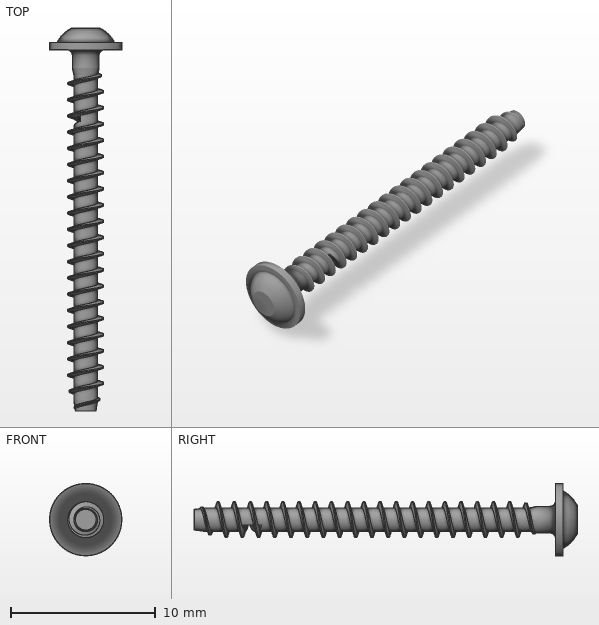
import cadquery as cq
import math

total_length = 26.5
head_height = 1.5
tip_y = head_height - total_length

flange_diameter = 5.0
flange_radius = flange_diameter / 2
flange_thickness = 0.53
dome_base_radius = 2.0
dome_top_radius = 0.98
dome_bulge = 0.08

neck_radius = 0.93
neck_fillet = 0.37
neck_end_y = -1.27
core_radius = 0.82
core_start_y = -1.75
tip_radius = 0.72
tip_taper_length = 0.75

first_crest_y = -2.05
counted_turns = 20
counted_length = 22.42
pitch = counted_length / counted_turns
crest_radius = 1.25
root_radius = 0.65
crest_width = 0.08
root_width = 0.4
width_at_core = 0.32
start_turn = -1.0
end_turn = 20.25
fade_turns = 1.25
start_crest_radius = 0.85
end_crest_radius = 0.8
stretch_turns = 0.25
points_per_stretch = 4

notch_floor = 0.37
notch_slant = 0.56
first_notch_turn = 2.25
first_notch_width = 0.6
second_notch_turn = 17.5
second_notch_width = 0.77


def thread_y(turn):
    return first_crest_y - pitch * turn


def crest_radius_at(turn):
    """Crest radius, falling off linearly over the fade at either end."""
    start_share = min(1.0, (turn - start_turn) / fade_turns)
    end_share = min(1.0, (end_turn - turn) / fade_turns)
    start_drop = (crest_radius - start_crest_radius) * (1.0 - start_share)
    end_drop = (crest_radius - end_crest_radius) * (1.0 - end_share)
    return crest_radius - start_drop - end_drop


def helix_edge(turn, start_radius, end_radius, y_shift):
    """One stretch of a right-handed helix about Y, starting at the given turn."""
    points = []
    for step in range(points_per_stretch + 1):
        share = step / points_per_stretch
        point_turn = turn + stretch_turns * share
        angle = 2.0 * math.pi * point_turn
        radius = start_radius + (end_radius - start_radius) * share
        x = -radius * math.sin(angle)
        z = radius * math.cos(angle)
        points.append(cq.Vector(x, thread_y(point_turn) + y_shift, z))
    return cq.Edge.makeSpline(points)


def profile_edges(turn):
    """Edges swept by the corners of the thread profile over one stretch."""
    crest_start = crest_radius_at(turn)
    crest_end = crest_radius_at(turn + stretch_turns)
    return [
        helix_edge(turn, root_radius, root_radius, root_width / 2),
        helix_edge(turn, crest_start, crest_end, crest_width / 2),
        helix_edge(turn, crest_start, crest_end, -crest_width / 2),
        helix_edge(turn, root_radius, root_radius, -root_width / 2),
    ]


def end_face(edges, end):
    """Flat cap closing the thread at the start (0) or end (1) of a stretch."""
    corners = [edge.positionAt(end) for edge in edges]
    return cq.Face.makeFromWires(cq.Wire.makePolygon(corners, close=True))


def make_thread():
    stretch_count = round((end_turn - start_turn) / stretch_turns)
    stretches = [profile_edges(start_turn + i * stretch_turns) for i in range(stretch_count)]
    faces = [end_face(stretches[0], 0), end_face(stretches[-1], 1)]
    for edges in stretches:
        neighbours = edges[1:] + edges[:1]
        faces += [cq.Face.makeRuledSurface(a, b) for a, b in zip(edges, neighbours)]
    return cq.Workplane(obj=cq.Solid.makeSolid(cq.Shell.makeShell(faces)).fix())


def make_body():
    """Head, neck and core turned about the Y axis."""
    dome_middle = (
        (dome_base_radius + dome_top_radius) / 2 + dome_bulge,
        (flange_thickness + head_height) / 2 + dome_bulge,
    )
    fillet_middle = neck_fillet * (1.0 - math.sqrt(0.5))
    return (
        cq.Workplane("XY")
        .moveTo(0, head_height)
        .lineTo(dome_top_radius, head_height)
        .threePointArc(dome_middle, (dome_base_radius, flange_thickness))
        .lineTo(flange_radius, flange_thickness)
        .lineTo(flange_radius, 0)
        .lineTo(neck_radius + neck_fillet, 0)
        .threePointArc(
            (neck_radius + fillet_middle, -fillet_middle),
            (neck_radius, -neck_fillet),
        )
        .lineTo(neck_radius, neck_end_y)
        .lineTo(core_radius, core_start_y)
        .lineTo(core_radius, tip_y + tip_taper_length)
        .lineTo(tip_radius, tip_y)
        .lineTo(0, tip_y)
        .close()
        .revolve(360, (0, 0, 0), (0, 1, 0))
    )


def make_notch(thread_edge_y, step_y, step_slant):
    """Wedge on the -X side from the thread flank to the slanted step.

    Both sides are given by their Y at Z = 0 and their rise in Y per unit of Z.
    """
    reach = crest_radius
    flank_slant = pitch / 4 / core_radius
    corners = [
        (thread_edge_y - flank_slant * reach, -reach),
        (thread_edge_y + flank_slant * reach, reach),
        (step_y + step_slant * reach, reach),
        (step_y - step_slant * reach, -reach),
    ]
    outer_face = cq.Workplane("YZ", origin=(-reach, 0, 0))
    return outer_face.polyline(corners).close().extrude(reach - notch_floor)


def make_first_notch():
    """Notch on the -X side, between a thread flank and a step nearer the tip."""
    edge_y = thread_y(first_notch_turn) - width_at_core / 2
    return make_notch(edge_y, edge_y - first_notch_width, notch_slant)


def make_second_notch():
    """Notch on the -Z side, between a thread flank and a step nearer the head."""
    edge_y = thread_y(second_notch_turn) + width_at_core / 2
    notch = make_notch(edge_y, edge_y + second_notch_width, -notch_slant)
    return notch.rotate((0, 0, 0), (0, 1, 0), -90)


body = make_body().cut(make_first_notch()).cut(make_second_notch())
result = body.union(make_thread())